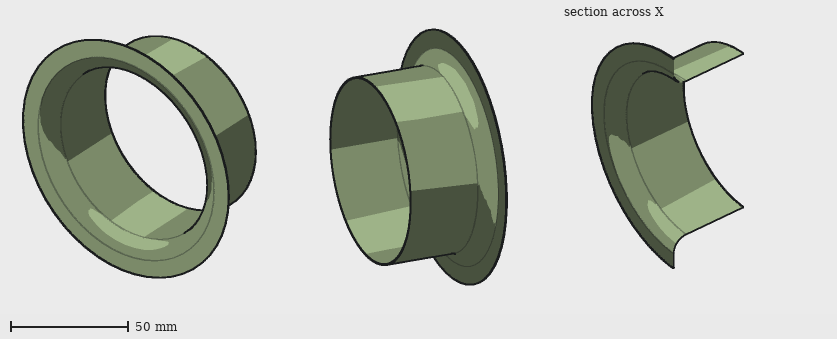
import cadquery as cq
import math

flange_diameter = 110.2
bore_diameter = 80.3
flat_inner_diameter = 94.3
length = 38.5
wall = 0.5

flange_radius = flange_diameter / 2
bore_radius = bore_diameter / 2
tube_radius = bore_radius + wall
bend_center_x = flat_inner_diameter / 2
bend_radius_bore_side = bend_center_x - bore_radius
bend_radius_tube_side = bend_radius_bore_side - wall
bend_center_y = bend_radius_bore_side


def bend_midpoint(radius):
    """Middle of the quarter bend, on the side facing the axis and the rim."""
    offset = radius * math.sqrt(0.5)
    return (bend_center_x - offset, bend_center_y - offset)


section = (
    cq.Workplane("XY")
    .moveTo(flange_radius, 0)
    .lineTo(bend_center_x, 0)
    .threePointArc(bend_midpoint(bend_radius_bore_side), (bore_radius, bend_center_y))
    .lineTo(bore_radius, length)
    .lineTo(tube_radius, length)
    .lineTo(tube_radius, bend_center_y)
    .threePointArc(bend_midpoint(bend_radius_tube_side), (bend_center_x, wall))
    .lineTo(flange_radius, wall)
    .close()
)

result = section.revolve(360, (0, 0, 0), (0, 1, 0))